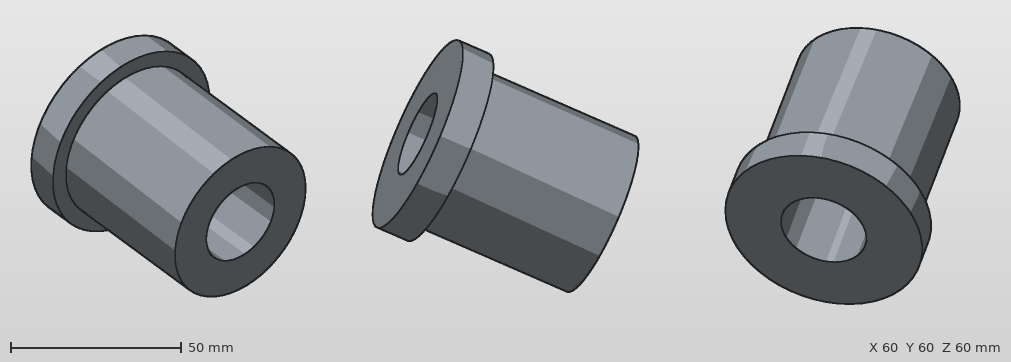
import cadquery as cq

total_length = 60.0
flange_diameter = 60.0
flange_thickness = total_length / 6
flange_overhang = flange_thickness / 2
barrel_diameter = flange_diameter - 2 * flange_overhang
bore_diameter = 26.0


def cylinder_along_x(diameter, length):
    """Solid cylinder starting at X = 0 and running toward +X."""
    return cq.Workplane("YZ").circle(diameter / 2).extrude(length)


flange = cylinder_along_x(flange_diameter, flange_thickness)
barrel = cylinder_along_x(barrel_diameter, total_length)
bore = cylinder_along_x(bore_diameter, total_length)

result = flange.union(barrel).cut(bore)